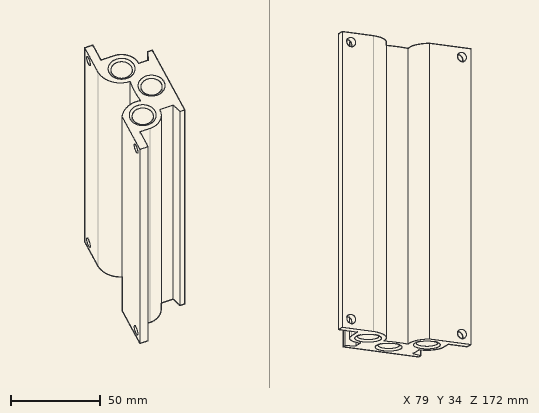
import cadquery as cq
import math

LENGTH = 172.0
WIDTH = 79.0
DEPTH = 34.0

FLANGE_THICKNESS = 5.0
MOUNT_HOLE_DIAMETER = 5.3
MOUNT_HOLE_INSET = 5.5

BORE_DIAMETER = 11.9
MOUTH_DIAMETER = 15.0
MOUTH_DEPTH = 1.0
SIDE_BORE_X = 17.5
LEFT_BORE_Y = 13.0
RIGHT_BORE_Y = 11.0
MIDDLE_BORE_Y = 23.7

SHOULDER_RADIUS = 10.3

HEAD_WIDTH = 46.5
LIP_EDGE_Y = 31.1
LIP_ROOT_Y = 29.4

LEFT_CHANNEL_RADIUS = 14.0
LEFT_CHANNEL_CENTER_X = -21.3
LEFT_CHANNEL_START_X = -20.5
RIGHT_CHANNEL_RADIUS = 13.5
RIGHT_CHANNEL_CENTER_X = 20.6
RIGHT_CHANNEL_START_X = 14.0
CHANNEL_EDGE_Y = 14.0
CHANNEL_CROWN_Y = 13.5


def point_on_circle(center, radius, angle):
    """Point at an angle in radians around a circle."""
    return (center[0] + radius * math.cos(angle), center[1] + radius * math.sin(angle))


def channel_side(center_x, start_x, radius):
    """Start, middle and end of a right-hand channel arc, from the front face to the floor edge."""
    center_y = math.sqrt(radius**2 - (center_x - start_x) ** 2)
    start_angle = math.atan2(-center_y, start_x - center_x) % math.tau
    end_angle = math.pi - math.asin((CHANNEL_EDGE_Y - center_y) / radius)
    angles = (start_angle, (start_angle + end_angle) / 2, end_angle)
    return [point_on_circle((center_x, center_y), radius, angle) for angle in angles]


def make_body():
    """Extruded profile, traced clockwise from the front left corner."""
    half_width = WIDTH / 2
    half_head = HEAD_WIDTH / 2
    neck_x = SIDE_BORE_X
    wall_x = SIDE_BORE_X + SHOULDER_RADIUS
    left_bore = (-SIDE_BORE_X, LEFT_BORE_Y)
    right_bore = (SIDE_BORE_X, RIGHT_BORE_Y)

    right_arc = channel_side(RIGHT_CHANNEL_CENTER_X, RIGHT_CHANNEL_START_X, RIGHT_CHANNEL_RADIUS)
    mirrored_arc = channel_side(-LEFT_CHANNEL_CENTER_X, -LEFT_CHANNEL_START_X, LEFT_CHANNEL_RADIUS)
    left_arc = [(-x, y) for x, y in mirrored_arc]

    profile = (
        cq.Workplane("XY")
        .moveTo(-half_width, 0)
        .lineTo(-half_width, FLANGE_THICKNESS)
        .lineTo(-wall_x, FLANGE_THICKNESS)
        .lineTo(-wall_x, LEFT_BORE_Y)
        .threePointArc(
            point_on_circle(left_bore, SHOULDER_RADIUS, math.radians(135)),
            (-neck_x, LEFT_BORE_Y + SHOULDER_RADIUS),
        )
        .lineTo(-neck_x, LIP_ROOT_Y)
        .lineTo(-half_head, LIP_EDGE_Y)
        .lineTo(-half_head, DEPTH)
        .lineTo(half_head, DEPTH)
        .lineTo(half_head, LIP_EDGE_Y)
        .lineTo(neck_x, LIP_ROOT_Y)
        .lineTo(neck_x, RIGHT_BORE_Y + SHOULDER_RADIUS)
        .threePointArc(
            point_on_circle(right_bore, SHOULDER_RADIUS, math.radians(45)),
            (wall_x, RIGHT_BORE_Y),
        )
        .lineTo(wall_x, FLANGE_THICKNESS)
        .lineTo(half_width, FLANGE_THICKNESS)
        .lineTo(half_width, 0)
        .lineTo(*right_arc[0])
        .threePointArc(right_arc[1], right_arc[2])
        .threePointArc((0, CHANNEL_CROWN_Y), left_arc[2])
        .threePointArc(left_arc[1], left_arc[0])
        .close()
    )
    return profile.extrude(LENGTH)


def make_bore(x, y):
    """Through bore with a conical mouth at each end."""
    bore_radius = BORE_DIAMETER / 2
    mouth_radius = MOUTH_DIAMETER / 2
    half_section = [
        (0, 0),
        (mouth_radius, 0),
        (bore_radius, MOUTH_DEPTH),
        (bore_radius, LENGTH - MOUTH_DEPTH),
        (mouth_radius, LENGTH),
        (0, LENGTH),
    ]
    bore = cq.Workplane("XZ").polyline(half_section).close().revolve(360, (0, 0), (0, 1))
    return bore.translate((x, y, 0))


def make_mount_holes():
    """Holes through the flange corners, parallel to Y."""
    spacing_x = WIDTH - 2 * MOUNT_HOLE_INSET
    spacing_z = LENGTH - 2 * MOUNT_HOLE_INSET
    return (
        cq.Workplane("XZ", origin=(0, 0, LENGTH / 2))
        .rarray(spacing_x, spacing_z, 2, 2)
        .circle(MOUNT_HOLE_DIAMETER / 2)
        .extrude(-FLANGE_THICKNESS)
    )


bore_centers = [
    (-SIDE_BORE_X, LEFT_BORE_Y),
    (0, MIDDLE_BORE_Y),
    (SIDE_BORE_X, RIGHT_BORE_Y),
]

result = make_body().cut(make_mount_holes())
for bore_x, bore_y in bore_centers:
    result = result.cut(make_bore(bore_x, bore_y))